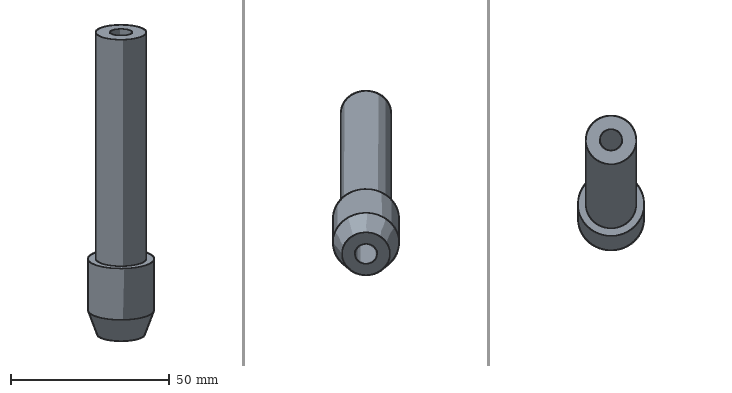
import cadquery as cq
import math

total_length = 100.0
stem_diameter = 16.0
collar_diameter = 21.0
bore_diameter = 7.0
collar_top = 25.0
taper_height = 8.0
taper_angle = 20.0

stem_radius = stem_diameter / 2
collar_radius = collar_diameter / 2
tip_radius = collar_radius - taper_height * math.tan(math.radians(taper_angle))


def turned_body():
    """Stem, collar and tapered nose as one profile revolved about Z."""
    profile = (
        cq.Workplane("XZ")
        .moveTo(0, 0)
        .lineTo(tip_radius, 0)
        .lineTo(collar_radius, taper_height)
        .lineTo(collar_radius, collar_top)
        .lineTo(stem_radius, collar_top)
        .lineTo(stem_radius, total_length)
        .lineTo(0, total_length)
        .close()
    )
    return profile.revolve(360, (0, 0, 0), (0, 1, 0))


def through_bore():
    """Cylinder that opens the part along its whole length."""
    return cq.Workplane("XY").circle(bore_diameter / 2).extrude(total_length)


result = turned_body().cut(through_bore())